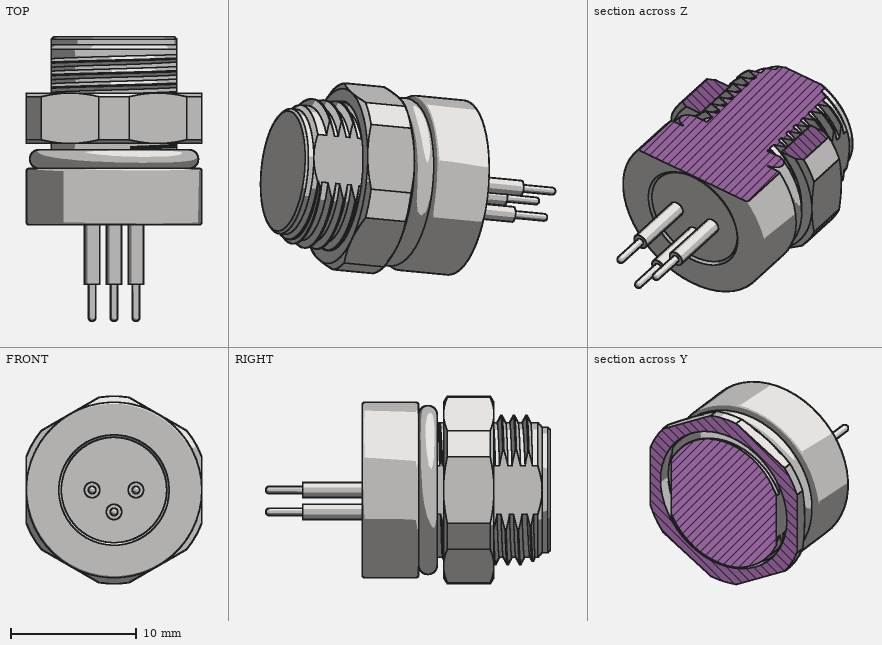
import cadquery as cq
import math


OVERALL_LENGTH = 22.7

FLANGE_RADIUS = 14.0 / 2
FLANGE_LENGTH = 4.5
FLANGE_ROUNDING = 0.2

SEAL_RADIUS = 6.75
SEAL_WIDTH = 1.5
SEAL_END = FLANGE_LENGTH + SEAL_WIDTH

BARREL_RADIUS = 5.38
BARREL_END = 15.0
NOSE_RADIUS = 5.02
NOSE_LENGTH = 0.65
NOSE_START = BARREL_END - NOSE_LENGTH
NOSE_CHAMFER = 0.2
SHOULDER_LENGTH = 0.35
FLAT_DISTANCE = NOSE_RADIUS

PITCH = 1.0
FIRST_CREST_Y = 6.1
CREST_RADIUS = 5.95
CREST_WIDTH = 0.1
RIDGE_WIDTH = 0.68
RIDGE_EMBED = 0.2
LEAD_IN_START = 0.04
LEAD_IN_TURNS = 1.0
LEAD_IN_SINK = 0.5
FULL_HEIGHT_TURNS = 6.0
RUN_OUT_TURNS = 0.7
RUN_OUT_SINK = 0.4
POINTS_PER_TURN = 24

RECESS_RADIUS = 4.4
RECESS_FLOOR_RADIUS = 4.2
RECESS_DEPTH = 0.2

PIN_SPREAD = 1.75
PIN_PLACES = [(-PIN_SPREAD, 0), (PIN_SPREAD, 0), (0, -PIN_SPREAD)]
SLEEVE_RADIUS = 0.61
SLEEVE_LENGTH = 4.75
WIRE_RADIUS = 0.3
PIN_LENGTH = OVERALL_LENGTH - BARREL_END

NUT_ACROSS_FLATS = 14.0
NUT_CORNER_RADIUS = 7.5
NUT_FACE_RADIUS = NUT_ACROSS_FLATS / 2
NUT_CHAMFER_LENGTH = 0.3
NUT_LENGTH = 4.02
NUT_START = 6.5
NUT_BORE_RADIUS = 6.0


def revolve_about_y(outline):
    """Turn an outline of (radius, Y) around the Y axis."""
    return outline.close().revolve(360, (0, 0, 0), (0, 1, 0))


def make_flange():
    flange = revolve_about_y(
        cq.Workplane("XY")
        .lineTo(FLANGE_RADIUS, 0)
        .lineTo(FLANGE_RADIUS, FLANGE_LENGTH)
        .lineTo(0, FLANGE_LENGTH)
    )
    flange = flange.faces("<Y or >Y").edges().fillet(FLANGE_ROUNDING)
    recess = revolve_about_y(
        cq.Workplane("XY")
        .lineTo(RECESS_RADIUS, 0)
        .lineTo(RECESS_FLOOR_RADIUS, RECESS_DEPTH)
        .lineTo(0, RECESS_DEPTH)
    )
    return flange.cut(recess)


def make_seal():
    round_start = SEAL_RADIUS - SEAL_WIDTH / 2
    return revolve_about_y(
        cq.Workplane("XY")
        .moveTo(0, FLANGE_LENGTH)
        .lineTo(round_start, FLANGE_LENGTH)
        .threePointArc((SEAL_RADIUS, FLANGE_LENGTH + SEAL_WIDTH / 2), (round_start, SEAL_END))
        .lineTo(0, SEAL_END)
    )


def make_barrel():
    """Plain barrel up to the small end of its conical shoulder."""
    return revolve_about_y(
        cq.Workplane("XY")
        .moveTo(0, FLANGE_LENGTH)
        .lineTo(BARREL_RADIUS, FLANGE_LENGTH)
        .lineTo(BARREL_RADIUS, NOSE_START - SHOULDER_LENGTH)
        .lineTo(NOSE_RADIUS, NOSE_START)
        .lineTo(0, NOSE_START)
    )


def make_nose():
    return revolve_about_y(
        cq.Workplane("XY")
        .moveTo(0, NOSE_START)
        .lineTo(NOSE_RADIUS, NOSE_START)
        .lineTo(NOSE_RADIUS, BARREL_END - NOSE_CHAMFER)
        .lineTo(NOSE_RADIUS - NOSE_CHAMFER, BARREL_END)
        .lineTo(0, BARREL_END)
    )


def ridge_corners():
    """Section of the thread ridge as (radius, Y offset); its foot lies below the barrel surface."""
    flank_slope = (RIDGE_WIDTH - CREST_WIDTH) / 2 / (CREST_RADIUS - BARREL_RADIUS)
    foot_radius = BARREL_RADIUS - RIDGE_EMBED
    half_foot = RIDGE_WIDTH / 2 + flank_slope * RIDGE_EMBED
    half_crest = CREST_WIDTH / 2
    return [
        (foot_radius, -half_foot),
        (CREST_RADIUS, -half_crest),
        (CREST_RADIUS, half_crest),
        (foot_radius, half_foot),
    ]


def make_ridge_section(start, end, start_sink, end_sink):
    """One stretch of the ridge, sunk into the barrel by a given depth at each end."""

    def spiral_point(corner, turn):
        progress = (turn - start) / (end - start)
        radius = corner[0] - start_sink - (end_sink - start_sink) * progress
        angle = 2 * math.pi * turn
        y = FIRST_CREST_Y + PITCH * turn + corner[1]
        return cq.Vector(radius * math.sin(angle), y, radius * math.cos(angle))

    corners = ridge_corners()
    steps = math.ceil(POINTS_PER_TURN * (end - start))
    turns = [start + (end - start) * step / steps for step in range(steps + 1)]
    edges = [cq.Edge.makeSpline([spiral_point(corner, turn) for turn in turns]) for corner in corners]
    faces = [cq.Face.makeRuledSurface(edges[i - 1], edges[i]) for i in range(len(edges))]
    for turn in (start, end):
        cap = cq.Wire.makePolygon([spiral_point(corner, turn) for corner in corners], close=True)
        faces.append(cq.Face.makeFromWires(cap))
    return cq.Solid.makeSolid(cq.Shell.makeShell(faces)).fix()


def make_threaded_barrel():
    """Barrel with its thread, cut flat on the -X and +X sides."""
    full_start = LEAD_IN_START + LEAD_IN_TURNS
    full_end = full_start + FULL_HEIGHT_TURNS
    lead_in = make_ridge_section(LEAD_IN_START, full_start, LEAD_IN_SINK, 0)
    full_ridge = make_ridge_section(full_start, full_end, 0, 0)
    run_out = make_ridge_section(full_end, full_end + RUN_OUT_TURNS, 0, RUN_OUT_SINK)
    barrel = make_barrel()
    for ridge in (lead_in, full_ridge, run_out):
        barrel = barrel.union(cq.Workplane(ridge))
    between_flats = cq.Workplane("XY").box(2 * FLAT_DISTANCE, 2 * BARREL_END, 4 * BARREL_RADIUS)
    return barrel.intersect(between_flats)


def make_pin(x, z):
    """Sleeve and thinner round-tipped wire, from the recess floor to the rear."""
    tip_start = WIRE_RADIUS - PIN_LENGTH
    tip_middle = WIRE_RADIUS * math.sqrt(0.5)
    pin = revolve_about_y(
        cq.Workplane("XY")
        .moveTo(0, RECESS_DEPTH)
        .lineTo(SLEEVE_RADIUS, RECESS_DEPTH)
        .lineTo(SLEEVE_RADIUS, -SLEEVE_LENGTH)
        .lineTo(WIRE_RADIUS, -SLEEVE_LENGTH)
        .lineTo(WIRE_RADIUS, tip_start)
        .threePointArc((tip_middle, tip_start - tip_middle), (0, -PIN_LENGTH))
    )
    return pin.translate((x, 0, z))


def make_connector():
    connector = make_flange().union(make_seal()).union(make_threaded_barrel()).union(make_nose())
    for x, z in PIN_PLACES:
        connector = connector.union(make_pin(x, z))
    return connector


def make_nut():
    """Hexagon nut with flats on the X sides and turned, chamfered corners."""
    corner_distance = NUT_ACROSS_FLATS / math.cos(math.pi / 6)
    hexagon = (
        cq.Workplane("XY")
        .polygon(6, corner_distance)
        .extrude(NUT_LENGTH)
        .rotate((0, 0, 0), (0, 0, 1), 30)
        .rotate((0, 0, 0), (1, 0, 0), -90)
        .translate((0, NUT_START, 0))
    )
    nut_end = NUT_START + NUT_LENGTH
    turned_blank = revolve_about_y(
        cq.Workplane("XY")
        .moveTo(NUT_BORE_RADIUS, NUT_START)
        .lineTo(NUT_FACE_RADIUS, NUT_START)
        .lineTo(NUT_CORNER_RADIUS, NUT_START + NUT_CHAMFER_LENGTH)
        .lineTo(NUT_CORNER_RADIUS, nut_end - NUT_CHAMFER_LENGTH)
        .lineTo(NUT_FACE_RADIUS, nut_end)
        .lineTo(NUT_BORE_RADIUS, nut_end)
    )
    return hexagon.intersect(turned_blank)


connector = make_connector()
nut = make_nut()

result = cq.Compound.makeCompound([connector.solids().val(), nut.solids().val()])